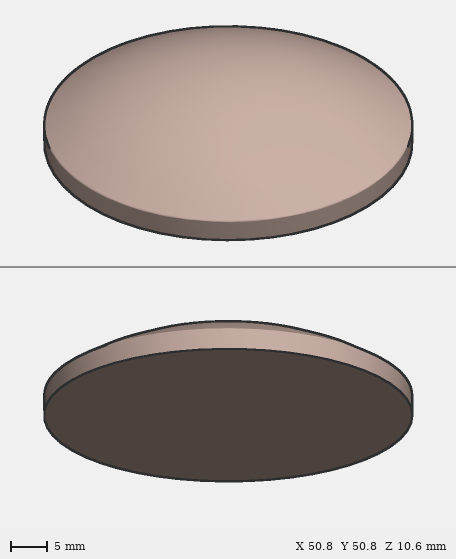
import cadquery as cq
import math

diameter = 50.8
total_height = 10.6
rim_height = 3.0
edge_radius = 0.3

radius = diameter / 2
dome_rise = total_height - rim_height
sphere_radius = (radius**2 + dome_rise**2) / (2 * dome_rise)

mid_radius = radius / 2
mid_height = total_height - sphere_radius + math.sqrt(sphere_radius**2 - mid_radius**2)

profile = (
    cq.Workplane("XZ")
    .lineTo(radius, 0)
    .lineTo(radius, rim_height)
    .threePointArc((mid_radius, mid_height), (0, total_height))
    .close()
)

lens = profile.revolve(360, (0, 0), (0, 1))

rim_zone = cq.selectors.BoxSelector(
    (-radius, -radius, rim_height - edge_radius),
    (radius, radius, rim_height + edge_radius),
)
result = lens.edges(rim_zone).fillet(edge_radius)